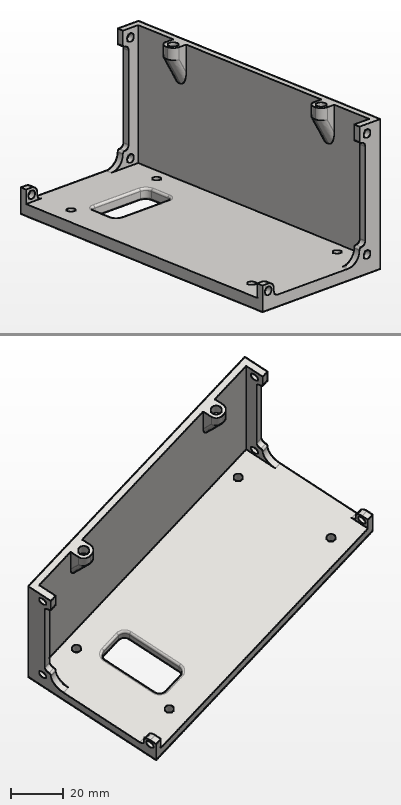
import cadquery as cq
import math


length = 134.0
depth = 62.0
height = 62.0
floor_thickness = 5.0
wall_thickness = 3.0

flange_thickness = 3.0
flange_depth = 8.0
tab_depth = 11.0
screw_diameter = 3.5
rear_screw_depth = 7.0
low_screw_z = 8.0
high_screw_z = 58.0
low_tab_top = 12.0
high_tab_bottom = 55.0
tab_root_radius = 2.0
tab_corner_radius = tab_depth - flange_depth - tab_root_radius
gusset_radius = low_tab_top - tab_corner_radius - floor_thickness
front_tab_radius = 3.0
front_tab_root_radius = 2.0

mount_spacing_x = 100.0
mount_spacing_y = 45.0
mount_center_x = 2.0
mount_center_depth = depth / 2

window_width = 15.0
window_depth = 30.0
window_corner_radius = 3.0
window_edge_radius = 1.0
window_center_x = -37.5
window_center_depth = 32.0

boss_spacing = 82.0
boss_width = 7.2
boss_front_depth = 10.0
boss_corner_radius = 3.2
boss_straight_height = 5.0
boss_slope_angle = 60.0
boss_hole_diameter = 4.2
boss_hole_center_depth = 6.5
boss_hole_length = boss_straight_height

left_end = -length / 2


def box_between(x_range, depth_range, z_range):
    """Box from ranges of X, depth in front of the back face (-Y) and Z."""
    size_x = x_range[1] - x_range[0]
    size_y = depth_range[1] - depth_range[0]
    size_z = z_range[1] - z_range[0]
    box = cq.Workplane("XY").box(size_x, size_y, size_z, centered=False)
    return box.translate((x_range[0], -depth_range[1], z_range[0]))


def side_plane(x):
    """Sketch plane across the part at x, with local axes Y and Z."""
    return cq.Workplane("YZ", origin=(x, 0, 0))


def wall():
    return box_between((left_end, -left_end), (0, wall_thickness), (0, height))


def rear_flange():
    """Left flange along the wall: high tab, straight edge, low tab and gusset."""
    profile = (
        side_plane(left_end)
        .moveTo(0, height)
        .lineTo(-tab_depth, height)
        .lineTo(-tab_depth, high_tab_bottom + tab_corner_radius)
        .radiusArc((-tab_depth + tab_corner_radius, high_tab_bottom), -tab_corner_radius)
        .radiusArc((-flange_depth, high_tab_bottom - tab_root_radius), tab_root_radius)
        .lineTo(-flange_depth, low_tab_top + tab_root_radius)
        .radiusArc((-flange_depth - tab_root_radius, low_tab_top), tab_root_radius)
        .radiusArc((-tab_depth, low_tab_top - tab_corner_radius), -tab_corner_radius)
        .radiusArc((-tab_depth - gusset_radius, floor_thickness), gusset_radius)
        .lineTo(0, floor_thickness)
        .close()
    )
    return profile.extrude(flange_thickness)


def front_tab():
    """Left tab at the front edge of the floor, rounded about its screw hole."""
    rear_y = -depth + 2 * front_tab_radius
    profile = (
        side_plane(left_end)
        .moveTo(-depth, floor_thickness)
        .lineTo(-depth, low_screw_z + front_tab_radius)
        .lineTo(-depth + front_tab_radius, low_screw_z + front_tab_radius)
        .radiusArc((rear_y, low_screw_z), front_tab_radius)
        .lineTo(rear_y, floor_thickness + front_tab_root_radius)
        .radiusArc((rear_y + front_tab_root_radius, floor_thickness), -front_tab_root_radius)
        .close()
    )
    return profile.extrude(flange_thickness)


def screw_holes():
    """Screw clearance holes through the tabs at the left end."""
    centers = [
        (-rear_screw_depth, high_screw_z),
        (-rear_screw_depth, low_screw_z),
        (-depth + front_tab_radius, low_screw_z),
    ]
    plane = side_plane(left_end).pushPoints(centers)
    return plane.circle(screw_diameter / 2).extrude(flange_thickness)


def end_features():
    left = rear_flange().union(front_tab()).cut(screw_holes())
    return left.union(left.mirror("YZ"))


def boss(x):
    """Boss on the wall with rounded front corners and a tail sloping back into the wall."""
    projection = boss_front_depth - wall_thickness
    slope_drop = projection * math.tan(math.radians(boss_slope_angle))
    slope_top = height - boss_straight_height
    x_range = (x - boss_width / 2, x + boss_width / 2)
    depth_range = (wall_thickness, boss_front_depth)
    straight = box_between(x_range, depth_range, (slope_top, height))
    straight = straight.edges("|Z and <Y").fillet(boss_corner_radius)

    outline = straight.faces("<Z").val()
    slope = cq.Vector(0, projection, -slope_drop)
    tail = cq.Workplane(cq.Solid.extrudeLinear(outline, slope))
    tail = tail.intersect(box_between(x_range, depth_range, (slope_top - slope_drop, slope_top)))

    hole = (
        cq.Workplane("XY", origin=(x, -boss_hole_center_depth, height))
        .circle(boss_hole_diameter / 2)
        .extrude(-boss_hole_length)
    )
    return straight.union(tail).cut(hole)


def mounting_holes():
    plane = cq.Workplane("XY", origin=(mount_center_x, -mount_center_depth, 0))
    spots = plane.rarray(mount_spacing_x, mount_spacing_y, 2, 2)
    return spots.circle(screw_diameter / 2).extrude(floor_thickness)


def floor_with_openings():
    """Floor plate with its mounting holes and a window rounded over at both faces."""
    slab = box_between((left_end, -left_end), (0, depth), (0, floor_thickness))
    opening = (
        cq.Workplane("XY", origin=(window_center_x, -window_center_depth, 0))
        .rect(window_width, window_depth)
        .extrude(floor_thickness)
        .edges("|Z")
        .fillet(window_corner_radius)
    )
    slab = slab.cut(opening)
    inner_rims = [face.innerWires()[0] for face in slab.faces("<Z or >Z").vals()]
    rim_edges = [edge for rim in inner_rims for edge in rim.Edges()]
    slab = slab.newObject(rim_edges).fillet(window_edge_radius)
    return slab.cut(mounting_holes())


result = floor_with_openings().union(wall()).union(end_features())
for boss_x in (-boss_spacing / 2, boss_spacing / 2):
    result = result.union(boss(boss_x))